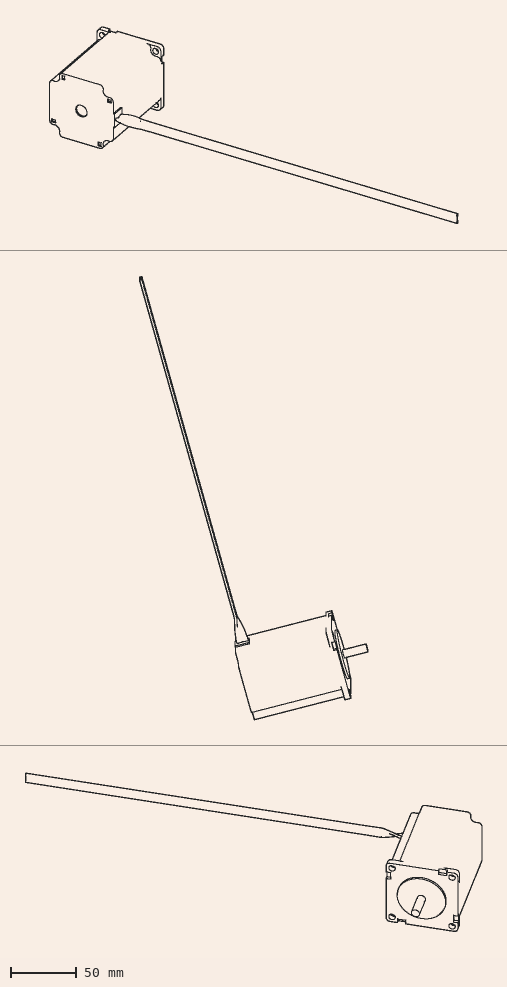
import cadquery as cq
import math


quarter_turn = 90

total_span = 357.5
total_length = 96.5

flange_side = 56.5
flange_half = flange_side / 2
flange_thickness = 4.5
flange_corner_radius = 3.2
mount_spacing = 47.0
mount_offset = mount_spacing / 2
mount_hole_diameter = 5.0
shaft_diameter = 6.5
shaft_length = 20.5
boss_diameter = 38.2
boss_height = 1.8

flange_front = total_length - shaft_length
flange_back = flange_front - flange_thickness
front_cap_length = 9.5
rear_cap_length = 11.8
corner_relief_radius = 4.3
corner_blend_radius = 3.2

recess_offset = 16.0
notch_width = 6.5
notch_length = 2.5
notch_depth = 3.5
pocket_width = 2.5
pocket_height = 3.2
pocket_distance = 24.5
pocket_depth = 1.5
rear_bore_diameter = 10.0
rear_bore_depth = 1.5

plate_height = 12.0
plate_length = 11.0
plate_thickness = 1.0
cable_end = total_span - flange_half
cable_y = 6.0
ribbon_width = 8.5
flare_width = 9.0
flare_length = 10.7
core_radius = 1.0
web_half_thickness = 0.3
twist_length = 20.0
twist_angle = quarter_turn


def plane_at(y):
    """Work plane facing +Y whose local axes are X and -Z."""
    return cq.Workplane(cq.Plane((0, y, 0), xDir=(1, 0, 0), normal=(0, 1, 0)))


def on_four_sides(shape):
    """Copies of the shape at every quarter turn about the motor axis."""
    return [shape.rotate((0, 0, 0), (0, 1, 0), quarter_turn * turn) for turn in range(4)]


def corner_relief():
    """Corner cutter: a groove round the screw, flared outward by convex blends to the flats."""
    blend_z = flange_half - corner_blend_radius
    centre_gap = corner_relief_radius + corner_blend_radius
    blend_x = mount_offset - math.sqrt(centre_gap**2 - (mount_offset - blend_z) ** 2)
    share = corner_blend_radius / centre_gap
    touch_x = blend_x + share * (mount_offset - blend_x)
    touch_z = blend_z + share * (mount_offset - blend_z)
    touch_angle = math.atan2(touch_z - blend_z, touch_x - blend_x)
    middle = (touch_angle + math.pi / 2) / 2
    mid_x = blend_x + corner_blend_radius * math.cos(middle)
    mid_z = blend_z + corner_blend_radius * math.sin(middle)
    groove_mid = mount_offset - corner_relief_radius / math.sqrt(2)
    return (
        plane_at(0)
        .moveTo(blend_x, flange_half)
        .threePointArc((mid_x, mid_z), (touch_x, touch_z))
        .threePointArc((groove_mid, groove_mid), (touch_z, touch_x))
        .threePointArc((mid_z, mid_x), (flange_half, blend_x))
        .lineTo(flange_side, blend_x)
        .lineTo(flange_side, flange_side)
        .lineTo(blend_x, flange_side)
        .close()
        .extrude(flange_back)
    )


def make_body():
    """Stack between two end caps, all with the same grooved outline; the front cap carries the flange."""
    cap_joint = flange_front - front_cap_length
    reliefs = on_four_sides(corner_relief())
    sections = []
    for start, end in ((0, rear_cap_length), (rear_cap_length, cap_joint), (cap_joint, flange_back)):
        section = plane_at(start).rect(flange_side, flange_side).extrude(end - start)
        for cutter in reliefs:
            section = section.cut(cutter)
        sections.append(section)
    rear_cap, stack, front_cap = sections
    front_cap = front_cap.union(make_flange())
    return rear_cap.union(stack, clean=False).union(front_cap, clean=False)


def make_flange():
    """Square mounting flange with four screw holes and a notch in each front edge."""
    flange = (
        plane_at(flange_back)
        .rect(flange_side, flange_side)
        .extrude(flange_thickness)
        .edges("|Y")
        .fillet(flange_corner_radius)
    )
    holes = (
        plane_at(flange_back)
        .rect(mount_spacing, mount_spacing, forConstruction=True)
        .vertices()
        .circle(mount_hole_diameter / 2)
        .extrude(flange_thickness)
    )
    flange = flange.cut(holes)
    notch = cq.Workplane().box(notch_width, 2 * notch_length, 2 * notch_depth)
    notch = notch.translate((-recess_offset, flange_front, flange_half))
    for cutter in on_four_sides(notch):
        flange = flange.cut(cutter)
    return flange


def make_shaft():
    """Pilot boss and output shaft, both standing on the flange front."""
    boss = plane_at(flange_front).circle(boss_diameter / 2).extrude(boss_height)
    shaft = plane_at(flange_front).circle(shaft_diameter / 2).extrude(shaft_length)
    return boss.union(shaft)


def cut_rear_recesses(body):
    """Shallow bearing bore and four small pockets in the rear face."""
    body = body.cut(plane_at(0).circle(rear_bore_diameter / 2).extrude(rear_bore_depth), clean=False)
    pocket = cq.Workplane().box(pocket_width, 2 * pocket_depth, pocket_height)
    pocket = pocket.translate((-recess_offset, 0, pocket_distance))
    for cutter in on_four_sides(pocket):
        body = body.cut(cutter, clean=False)
    return body


def ribbon_section(workplane, width):
    """Dog-bone outline along the local X axis: two round cores joined by a hollowed web."""
    half_width = width / 2
    core = half_width - core_radius
    bulge = core_radius - web_half_thickness
    hollow_radius = (core**2 + web_half_thickness**2 - core_radius**2) / (2 * bulge)
    share = core_radius / (core_radius + hollow_radius)
    touch_w = core * (1 - share)
    touch_t = share * (hollow_radius + web_half_thickness)
    return (
        workplane.moveTo(-touch_w, touch_t)
        .threePointArc((0, web_half_thickness), (touch_w, touch_t))
        .threePointArc((half_width, 0), (touch_w, -touch_t))
        .threePointArc((0, -web_half_thickness), (-touch_w, -touch_t))
        .threePointArc((-half_width, 0), (-touch_w, touch_t))
        .close()
    )


def ribbon_plane(x, width_direction):
    """Work plane across the cable at x, its local X axis along the ribbon width."""
    return cq.Workplane(cq.Plane((x, cable_y, 0), xDir=width_direction, normal=(1, 0, 0)))


def make_cable():
    """Outlet plate, quarter-twisted length, flared length and long flat ribbon."""
    plate = (
        cq.Workplane()
        .box(plate_thickness, plate_length, plate_height, centered=(False, False, True))
        .translate((flange_half, 0, 0))
    )
    plate_face = flange_half + plate_thickness
    twist_end = plate_face + twist_length
    flare_end = twist_end + flare_length
    on_edge = (0, 1, 0)
    flat = (0, 0, 1)
    twisted = ribbon_section(ribbon_plane(plate_face, on_edge), flare_width)
    twisted = twisted.twistExtrude(twist_length, twist_angle)
    flare = ribbon_section(ribbon_plane(twist_end, flat), flare_width).workplane(offset=flare_length)
    flare = ribbon_section(flare, ribbon_width).loft(ruled=True)
    ribbon = ribbon_section(ribbon_plane(flare_end, flat), ribbon_width).extrude(cable_end - flare_end)
    return plate.union(twisted).union(flare, clean=False).union(ribbon, clean=False)


motor = make_body().union(make_shaft(), clean=False)
result = cut_rear_recesses(motor).union(make_cable(), clean=False)